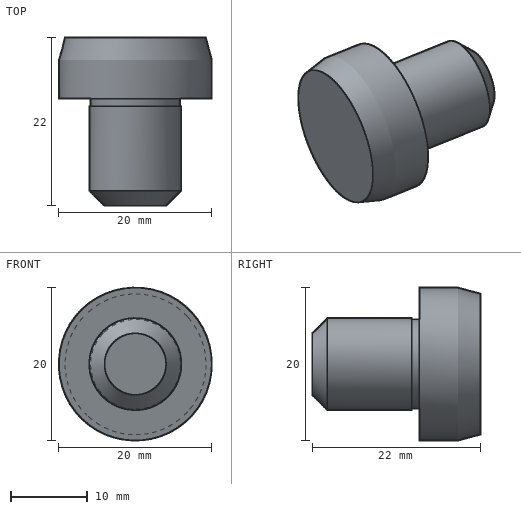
import cadquery as cq
import math

total_length = 22.0
head_diameter = 20.0
head_length = 8.0
shank_diameter = 12.03

head_taper_length = 3.0
head_taper_angle = 15.0
relief_width = 1.0
relief_depth = 0.15
tip_chamfer = 2.0

head_radius = head_diameter / 2
head_end_radius = head_radius - head_taper_length * math.tan(math.radians(head_taper_angle))
shank_radius = shank_diameter / 2
relief_radius = shank_radius - relief_depth
tip_radius = shank_radius - tip_chamfer

shoulder_y = total_length - head_length
relief_start_y = shoulder_y - relief_width
taper_start_y = total_length - head_taper_length

half_profile = (
    cq.Workplane("XY")
    .lineTo(tip_radius, 0)
    .lineTo(shank_radius, tip_chamfer)
    .lineTo(shank_radius, relief_start_y)
    .lineTo(relief_radius, relief_start_y)
    .lineTo(relief_radius, shoulder_y)
    .lineTo(head_radius, shoulder_y)
    .lineTo(head_radius, taper_start_y)
    .lineTo(head_end_radius, total_length)
    .lineTo(0, total_length)
    .close()
)

result = half_profile.revolve(360, (0, 0, 0), (0, 1, 0))